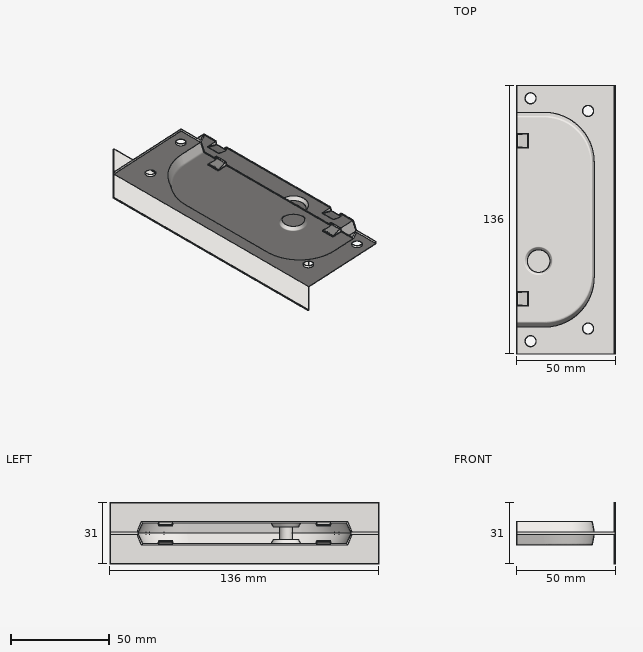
import cadquery as cq

length = 136.0
depth = 50.0
flange_height = 31.0

sheet = 0.7
web_thickness = 2 * sheet

pan_height = 6.0
pan_base_depth = 39.5
pan_base_half_width = 54.7
pan_top_depth = 38.4
pan_top_half_width = 52.2
pan_top_corner_radius = 24.1
pan_base_corner_radius = 25.5
pan_edge_fillet = 1.0

dimple_x = 11.2
dimple_y = -21.0
dimple_rim_radius = 7.0
dimple_floor_radius = 5.7
dimple_depth = 2.0
dimple_rim_fillet = 0.5
rim_search_margin = 0.7
pin_radius = 3.3

tab_center_y = 40.0
tab_rim_width = 7.3
tab_floor_width = 6.0
tab_rim_length = 6.1
tab_ramp_end = 5.6
tab_ramp_end_drop = 0.4
tab_lip_length = 1.2
tab_drop = 1.6
tab_bevel_length = 0.4
tab_bevel_drop = 0.5
tab_side_wall = 0.3

hole_diameter = 5.5
hole_points = [(7.1, 61.5), (36.2, 55.1)]


def pan_outline(z, x_max, half_width, radius):
    """Closed wire: a rectangle on x = 0 with its two far corners rounded."""
    arc_x = x_max - radius
    arc_y = half_width - radius
    diagonal = radius * 0.5 ** 0.5
    return (
        cq.Workplane("XY", origin=(0, 0, z))
        .moveTo(0, -half_width)
        .lineTo(arc_x, -half_width)
        .threePointArc((arc_x + diagonal, -arc_y - diagonal), (x_max, -arc_y))
        .lineTo(x_max, arc_y)
        .threePointArc((arc_x + diagonal, arc_y + diagonal), (arc_x, half_width))
        .lineTo(0, half_width)
        .close()
        .val()
    )


def pan_block(inset):
    """Drafted pan volume, shrunk by the given inset from its outer skin."""
    base = pan_outline(
        0,
        pan_base_depth - inset,
        pan_base_half_width - inset,
        pan_base_corner_radius - inset,
    )
    top = pan_outline(
        pan_height - inset,
        pan_top_depth - inset,
        pan_top_half_width - inset,
        pan_top_corner_radius - inset,
    )
    return cq.Workplane(cq.Solid.makeLoft([base, top], True))


def dimple_cone(inset):
    """Tapered dimple volume below the pan top, moved inward by the given inset."""
    floor_z = pan_height - dimple_depth - inset
    return (
        cq.Workplane("XY", origin=(dimple_x, dimple_y, floor_z))
        .circle(dimple_floor_radius + inset)
        .workplane(offset=dimple_depth)
        .circle(dimple_rim_radius + inset)
        .loft(ruled=True)
    )


def tab_side_profile(top_z, front_bevel):
    """Sketch in the XZ plane: bevelled front, short lip, ramp, then a small back wall."""
    lip_z = top_z - tab_drop
    front_z = lip_z - tab_bevel_drop if front_bevel else lip_z
    return (
        cq.Workplane("XZ")
        .moveTo(0, top_z)
        .lineTo(0, front_z)
        .lineTo(tab_bevel_length, lip_z)
        .lineTo(tab_lip_length, lip_z)
        .lineTo(tab_ramp_end, top_z - tab_ramp_end_drop)
        .lineTo(tab_rim_length, top_z)
        .close()
    )


def tab_taper(center_y, top_z, side_wall):
    """Prism along X whose sides narrow from the tab rim down to its floor."""
    half_rim = tab_rim_width / 2 + side_wall
    half_floor = tab_floor_width / 2 + side_wall
    bottom_z = top_z - tab_drop - tab_bevel_drop
    return (
        cq.Workplane("YZ")
        .moveTo(center_y - half_rim, top_z)
        .lineTo(center_y - half_floor, bottom_z)
        .lineTo(center_y + half_floor, bottom_z)
        .lineTo(center_y + half_rim, top_z)
        .close()
        .extrude(tab_rim_length)
    )


def tab_recess(center_y):
    """Volume pressed out of the top of a pan."""
    profile = tab_side_profile(pan_height, True).extrude(length / 2, both=True)
    return profile.intersect(tab_taper(center_y, pan_height, 0))


def tab_body(center_y):
    """Tab volume standing into the cavity, one sheet thickness below the recess."""
    ceiling = pan_height - sheet
    profile = tab_side_profile(ceiling, False).extrude(length / 2, both=True)
    return profile.intersect(tab_taper(center_y, ceiling, tab_side_wall))


def upper_skin():
    """Solid upper pan with its dimple and tabs recessed into the top."""
    skin = pan_block(0)
    skin = skin.faces(">Z").edges("not(<X)").fillet(pan_edge_fillet)
    skin = skin.cut(dimple_cone(0))
    reach = dimple_rim_radius + rim_search_margin
    rim = cq.selectors.BoxSelector(
        (dimple_x - reach, dimple_y - reach, pan_height - rim_search_margin),
        (dimple_x + reach, dimple_y + reach, pan_height + rim_search_margin),
    )
    skin = skin.edges(rim).fillet(dimple_rim_fillet)
    for center_y in (-tab_center_y, tab_center_y):
        skin = skin.cut(tab_recess(center_y))
    return skin


def upper_cavity():
    """Hollow of the upper pan, with the dimple and tabs standing into it."""
    cavity = pan_block(sheet).cut(dimple_cone(sheet))
    for center_y in (-tab_center_y, tab_center_y):
        cavity = cavity.cut(tab_body(center_y))
    return cavity


def both_sides(body):
    """Body joined with its mirror image below the web."""
    return body.union(body.mirror("XY"))


web = cq.Workplane("XY").box(depth, length, web_thickness, centered=(False, True, True))
flange = (
    cq.Workplane("XY", origin=(depth - sheet, 0, 0))
    .box(sheet, length, flange_height, centered=(False, True, True))
)

pin_height = 2 * (pan_height - dimple_depth - sheet / 2)
pin = (
    cq.Workplane("XY", origin=(dimple_x, dimple_y, -pin_height / 2))
    .circle(pin_radius)
    .extrude(pin_height)
)
holes = (
    cq.Workplane("XY", origin=(0, 0, -web_thickness))
    .pushPoints([(x, side * y) for x, y in hole_points for side in (-1, 1)])
    .circle(hole_diameter / 2)
    .extrude(2 * web_thickness)
)

result = (
    web.union(flange)
    .union(both_sides(upper_skin()))
    .cut(both_sides(upper_cavity()))
    .cut(holes)
    .union(pin)
)